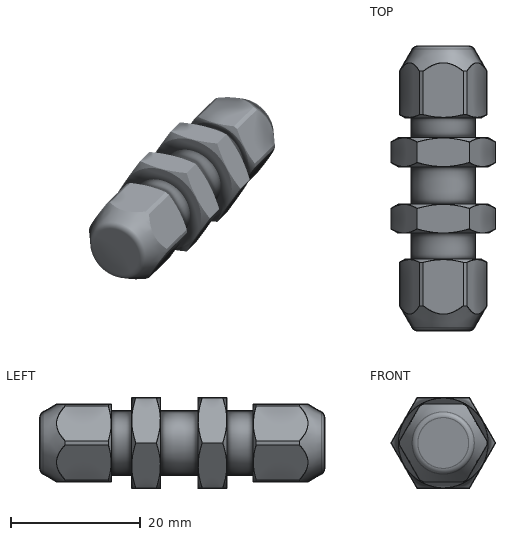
import cadquery as cq
import math

total_length = 44.0
shaft_diameter = 10.0
nut_thickness = 4.5
front_nut_gap = 4.0
rear_nut_gap = 3.1

nut_flats = 14.0
nut_face_diameter = 13.85

cap_length = 11.1
cap_flats = 12.0
cap_corner_diameter = 13.5
cap_back_diameter = 11.8
cap_cone_length = 2.6
cap_end_round = 1.0

chamfer_angle = 30.0
cone_angle = 30.0

half_length = total_length / 2


def hex_prism(flats, length):
    """Hexagonal prism from Y = 0 to Y = length, with flats facing +Z and -Z."""
    corner_diameter = flats / math.cos(math.pi / 6)
    return cq.Workplane("XZ").polygon(6, corner_diameter).extrude(-length)


def turned(profile):
    """Solid of revolution about Y; the profile is a list of (radius, y) points."""
    return cq.Workplane("XY").polyline(profile).close().revolve(360, (0, 0), (0, 1))


def make_nut():
    """Hexagon nut with both faces chamfered, from Y = 0 to its thickness."""
    face_radius = nut_face_diameter / 2
    corner_radius = nut_flats / 2 / math.cos(math.pi / 6)
    chamfer = (corner_radius - face_radius) * math.tan(math.radians(chamfer_angle))
    envelope = turned([
        (0, 0),
        (face_radius, 0),
        (corner_radius, chamfer),
        (corner_radius, nut_thickness - chamfer),
        (face_radius, nut_thickness),
        (0, nut_thickness),
    ])
    return hex_prism(nut_flats, nut_thickness).intersect(envelope)


def make_cap():
    """Closed cap with its back face at Y = 0 and its rounded cone towards +Y."""
    corner_radius = cap_corner_diameter / 2
    back_radius = cap_back_diameter / 2
    chamfer = (corner_radius - back_radius) * math.tan(math.radians(chamfer_angle))
    slope = math.tan(math.radians(cone_angle))
    end_radius = cap_flats / 2 - cap_cone_length * slope
    cone_start = cap_length - (corner_radius - end_radius) / slope
    envelope = turned([
        (0, 0),
        (back_radius, 0),
        (corner_radius, chamfer),
        (corner_radius, cone_start),
        (end_radius, cap_length),
        (0, cap_length),
    ])
    envelope = envelope.faces(">Y").edges().fillet(cap_end_round)
    return hex_prism(cap_flats, cap_length).intersect(envelope)


shaft_length = total_length - cap_length
shaft = (
    cq.Workplane("XZ")
    .circle(shaft_diameter / 2)
    .extrude(shaft_length / 2, both=True)
)

cap_back = half_length - cap_length
rear_cap = make_cap().translate((0, cap_back, 0))
front_cap = rear_cap.mirror("XZ")

nut = make_nut()
rear_nut = nut.translate((0, cap_back - rear_nut_gap - nut_thickness, 0))
front_nut = nut.translate((0, -cap_back + front_nut_gap, 0))

result = shaft.union(rear_cap).union(front_cap).union(rear_nut).union(front_nut)